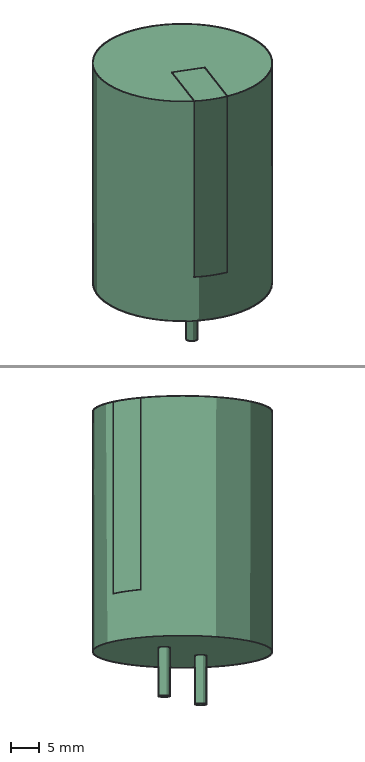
import cadquery as cq

CAN_DIAMETER = 31.0
TOTAL_HEIGHT = 50.6
PIN_LENGTH = 8.5
CAN_HEIGHT = TOTAL_HEIGHT - PIN_LENGTH

PIN_DIAMETER = 2.0
PIN_SPACING = 10.0

MARKER_WIDTH = 6.0
MARKER_INNER_X = 3.1
MARKER_BOTTOM_Z = 8.4


def make_can_blank():
    """Full cylinder of the can, before the marker recess is cut."""
    return cq.Workplane("XY").circle(CAN_DIAMETER / 2).extrude(CAN_HEIGHT)


def make_marker():
    """Rectangular block whose outer face follows the round side of the can."""
    block = (
        cq.Workplane("XY")
        .box(
            CAN_DIAMETER / 2,
            MARKER_WIDTH,
            CAN_HEIGHT - MARKER_BOTTOM_Z,
            centered=(False, True, False),
        )
        .translate((MARKER_INNER_X, 0, MARKER_BOTTOM_Z))
    )
    return block.intersect(make_can_blank())


def make_can(marker):
    """Can with a recess that the marker fills."""
    return make_can_blank().cut(marker)


def make_pin(x):
    """Round lead hanging from the bottom face of the can."""
    return cq.Workplane("XY").center(x, 0).circle(PIN_DIAMETER / 2).extrude(-PIN_LENGTH)


marker = make_marker()
can = make_can(marker)
pins = [make_pin(side * PIN_SPACING / 2) for side in (-1, 1)]

result = cq.Compound.makeCompound([can.val(), marker.val(), *[pin.val() for pin in pins]])